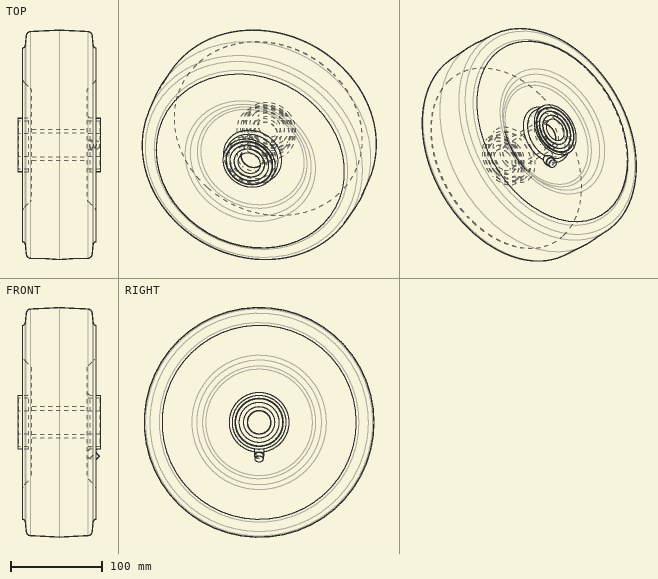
import cadquery as cq

wheel_radius = 125.0
hub_half_length = 45.0
hub_radius = 29.2

tread_corner_x = 35.5
tread_corner_radius = 123.2
shoulder_fillet = 5.2
tread_side_x = 37.0
rim_half_width = 40.0
rim_radius = 105.5
rim_cove = rim_half_width - tread_side_x

recess_depth = 10.0
recess_outer_radius = 70.0
recess_floor_radius = recess_outer_radius - recess_depth
recess_top_fillet = 7.5
recess_floor_fillet = 5.0
recess_floor_x = rim_half_width - recess_depth

hub_foot_height = 3.2
hub_foot_radius = hub_radius + hub_foot_height

bore_radius = 12.5
inner_ring_radius = 17.0
outer_ring_bore_radius = 21.8
bearing_radius = 26.2
bearing_width = 15.0
bearing_chamfer = 0.62
seal_depth = 0.8
spacer_bore_radius = 13.0
bearing_inner_x = hub_half_length - bearing_width

nipple_collar_radius = 5.2
nipple_collar_height = 7.0
nipple_stem_radius = 4.5
nipple_height = 12.8
nipple_root = 0.8


def revolve_about_x(profile):
    """Close a profile drawn as (x, radius) and turn it fully about the X axis."""
    return profile.close().revolve(360, (0, 0, 0), (1, 0, 0))


def both_sides(half):
    """Join a +X half with its mirror image."""
    return half.union(half.mirror("YZ"))


def fillet_circle(body, x, radius, fillet):
    """Round the one circular edge that has the given place on the axis and radius."""
    tolerance = 0.02

    def is_wanted(edge):
        return abs(edge.Center().x - x) < tolerance and abs(edge.radius() - radius) < tolerance

    return body.edges("%CIRCLE").filter(is_wanted).fillet(fillet)


def make_wheel_half():
    """The +X half of the tread, disc and hub, hollow for the bearing and the spacer."""
    half = revolve_about_x(
        cq.Workplane("XY")
        .moveTo(0, inner_ring_radius)
        .lineTo(0, wheel_radius)
        .lineTo(tread_corner_x, tread_corner_radius)
        .lineTo(tread_side_x, rim_radius + rim_cove)
        .radiusArc((rim_half_width, rim_radius), -rim_cove)
        .lineTo(rim_half_width, recess_outer_radius)
        .lineTo(recess_floor_x, recess_floor_radius)
        .lineTo(recess_floor_x, hub_foot_radius)
        .lineTo(recess_floor_x + hub_foot_height, hub_radius)
        .lineTo(hub_half_length, hub_radius)
        .lineTo(hub_half_length, bearing_radius)
        .lineTo(bearing_inner_x, bearing_radius)
        .lineTo(bearing_inner_x, inner_ring_radius)
    )
    half = fillet_circle(half, tread_corner_x, tread_corner_radius, shoulder_fillet)
    half = fillet_circle(half, rim_half_width, recess_outer_radius, recess_top_fillet)
    return fillet_circle(half, recess_floor_x, recess_floor_radius, recess_floor_fillet)


def make_nipple():
    """Grease nipple pointing away from the hub, halfway between +X and -Z."""
    foot_middle_x = recess_floor_x + hub_foot_height / 2
    foot_middle_radius = (hub_foot_radius + hub_radius) / 2
    foot_plane = cq.Plane(
        origin=(foot_middle_x, 0, -foot_middle_radius),
        xDir=(0, 1, 0),
        normal=(1, 0, -1),
    )
    root = cq.Workplane(foot_plane).workplane(offset=-nipple_root)
    collar = root.circle(nipple_collar_radius).extrude(nipple_root + nipple_collar_height)
    stem = root.circle(nipple_stem_radius).extrude(nipple_root + nipple_height)
    return collar.union(stem)


def make_wheel():
    """Whole wheel with the grease nipple as part of its hub."""
    return both_sides(make_wheel_half()).union(make_nipple())


def make_bearing_half():
    """One ball bearing with its sunk seal, and half of the spacer, on the +X side."""
    seal_x = hub_half_length - seal_depth
    return revolve_about_x(
        cq.Workplane("XY")
        .moveTo(0, spacer_bore_radius)
        .lineTo(bearing_inner_x, spacer_bore_radius)
        .lineTo(bearing_inner_x, bore_radius)
        .lineTo(hub_half_length, bore_radius)
        .lineTo(hub_half_length, inner_ring_radius)
        .lineTo(seal_x, inner_ring_radius)
        .lineTo(seal_x, outer_ring_bore_radius)
        .lineTo(hub_half_length, outer_ring_bore_radius)
        .lineTo(hub_half_length, bearing_radius - bearing_chamfer)
        .lineTo(hub_half_length - bearing_chamfer, bearing_radius)
        .lineTo(bearing_inner_x, bearing_radius)
        .lineTo(bearing_inner_x, inner_ring_radius)
        .lineTo(0, inner_ring_radius)
    )


def make_bearing_set():
    """Both bearings and the spacer between them as one insert."""
    return both_sides(make_bearing_half())


wheel = make_wheel()
bearing_set = make_bearing_set()

result = cq.Compound.makeCompound([wheel.solids().val(), bearing_set.solids().val()])